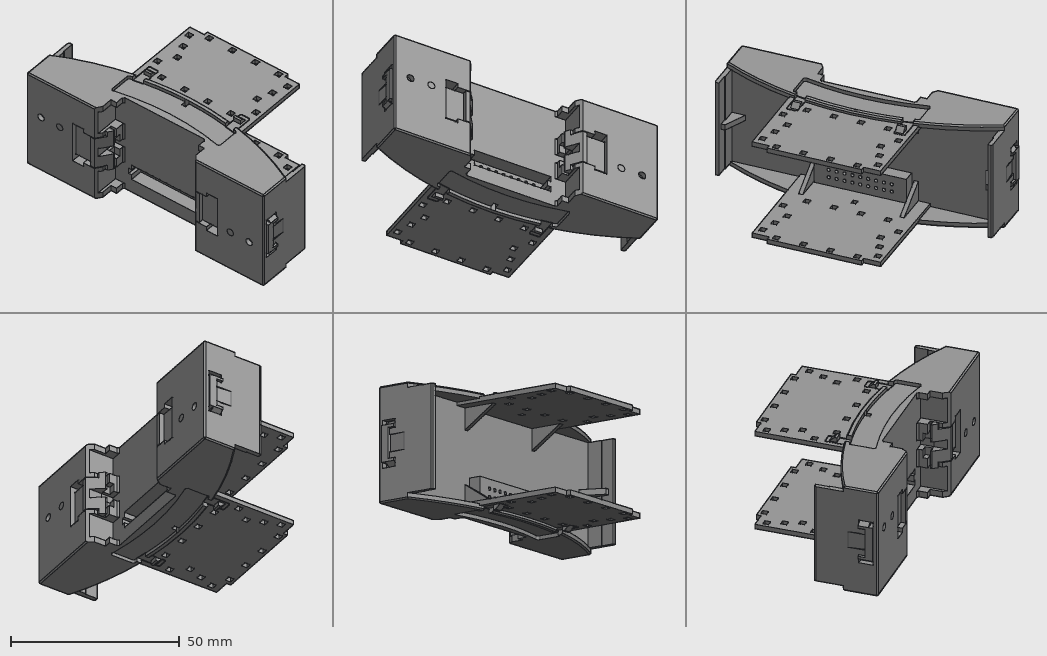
import cadquery as cq
import math

width = 35.6
half_width = width / 2
half_length = 44.9
wall = 1.7
edge_chamfer = 0.5

crown_y = 21.7
shoulder_y = 10.8
crown_sag = crown_y - shoulder_y
crown_radius = (half_length**2 + crown_sag**2) / (2 * crown_sag)
crown_center_y = crown_y - crown_radius

middle_y = 9.3
middle_half = 15.0
lip_x = 15.6
lip_y = 6.0
throat_x = 17.65
bevel_x = 19.2
bevel_tip_x = 15.7
bevel_tip_y = 4.7
bevel_slope = bevel_tip_y / (bevel_x - bevel_tip_x)
relief_x = 18.6
lip_chamfer = lip_x - middle_half

block_inner = 1.55
block_outer = 7.5
corner_block = 2.0

setback_half = 4.2
setback_y = 7.55

pocket_floor_y = 11.0
pocket_half_length = 43.2
pocket_half_width = half_width - wall

flange_top_y = 20.1
flange_step_y = 15.9
flange_inner_x = 43.5
flange_tip_run = 0.3
flange_tip_rise = 0.6
rib_top_y = 18.4
rib_top_x = 42.2
rib_foot_x = 38.1
rib_width = 1.8

recess_depth = 1.2
recess_half = 20.5
recess_rear_y = 20.0
recess_front_y = 11.8
recess_corner = 0.7
notch_width = 1.5
notch_length = 1.6

plate_outer_z = half_width - recess_depth
plate_thickness = 1.55
plate_inner_z = plate_outer_z - plate_thickness
plate_half = 20.9
plate_tip_half = 20.75
plate_shoulder_y = 47.4
plate_top_y = 48.9
plate_top_half = 15.3
vent = 1.8
vent_row_y = 24.4
vent_pitch_y = 5.0
vent_pitch_x = 8.7
vent_far_row_y = 47.05
vent_columns = 4
vent_side_x = (18.7, 15.1, 16.9, 18.7)

tab_inner_x = lip_x
tab_outer_x = 19.1
tab_tip_y = 26.0
tab_step = 0.3
tab_corner = 0.5
hook_outer_x = 18.2
hook_ramp_y = 24.9
hook_crest_y = 23.3
hook_heel_y = 22.5

gusset_top_y = 21.6
gusset_reach = 7.3
gusset_x = 16.4
gusset_width = 1.4

well_half = 12.5
well_bottom_z = -12.8
well_top_z = -7.3
well_floor_y = 13.65
key_depth = 1.1
key_width = 2.0
boss_wall = 1.4
boss_top_y = well_floor_y + boss_wall
pin_diameter = 1.0
pin_pitch = 2.55
pin_columns = 9
well_center_z = (well_top_z + well_bottom_z) / 2

latch_half = 5.6
latch_clearance = 0.3
latch_front_y = 1.55
latch_rear_y = 5.2
latch_back_x = 43.0
latch_lip_x = 20.6
latch_shoulder_x = 16.8
window_outer_x = 27.4
window_wing_x = 23.3
window_half = 7.3
knob_x = 45.5
knob_rear_y = 6.1
tongue_half = 4.55
tongue_y = 4.1
tongue_gap = 0.2
barb_front_y = 2.8
barb_base_half = 7.1
ramp_half = 2.6
ramp_top_y = 9.4
ramp_depth = 0.55
detent_diameter = 2.4
detent_z = -3.2
detent_inner_x = 32.3
detent_outer_x = 39.4

SIDES = (-1, 1)


def box(x0, x1, y0, y1, z0, z1):
    """Axis-aligned block between two opposite corners, given in any order."""
    size = (abs(x1 - x0), abs(y1 - y0), abs(z1 - z0))
    center = ((x0 + x1) / 2, (y0 + y1) / 2, (z0 + z1) / 2)
    return cq.Workplane("XY").box(*size).translate(center)


def prism(points, z0, z1):
    """XY polygon extruded from z0 up to z1."""
    return cq.Workplane("XY").workplane(offset=z0).polyline(points).close().extrude(z1 - z0)


def side_prism(points, x0, x1):
    """Polygon of (y, z) points extruded from x0 to x1."""
    return cq.Workplane("YZ").workplane(offset=x0).polyline(points).close().extrude(x1 - x0)


def arc_y(x, rear_y):
    """Y at x on the arc that is concentric with the crown and peaks at rear_y."""
    radius = rear_y - crown_center_y
    return crown_center_y + math.sqrt(radius**2 - x**2)


def both_ends(solid):
    """The +X feature and its mirror image at -X."""
    return solid.union(solid.mirror("YZ"))


def both_walls(solid):
    """The +Z feature and its mirror image at -Z."""
    return solid.union(solid.mirror("XY"))


def shell_block():
    """Outer block with crowned rear edge, hooked feet and chamfered outer edges."""
    throat_y = bevel_slope * (bevel_x - throat_x)
    foot = [
        (middle_half, middle_y),
        (lip_x, middle_y - lip_chamfer),
        (lip_x, lip_y),
        (throat_x, lip_y),
        (throat_x, throat_y),
        (bevel_x, 0),
        (half_length, 0),
        (half_length, shoulder_y),
    ]
    left_foot = [(-x, y) for x, y in reversed(foot)]
    outline = (
        cq.Workplane("XY")
        .workplane(offset=-half_width)
        .polyline(left_foot + foot)
        .threePointArc((0, crown_y), (-half_length, shoulder_y))
        .close()
    )
    block = outline.extrude(width)
    ends = block.faces("<X or >X").edges("<Y")
    feet = block.faces("<Y").edges("|X")
    sides = block.faces("<X or >X").edges("|Y")
    crown = block.faces("<Z or >Z").edges("%CIRCLE")
    return ends.add(feet).add(sides).add(crown).chamfer(edge_chamfer)


def flanges():
    """Upright end walls, thicker at the foot, each with a rib behind it."""
    base_y = pocket_floor_y - wall
    upright = [
        (pocket_half_length, base_y),
        (half_length - edge_chamfer, base_y),
        (half_length, base_y + edge_chamfer),
        (half_length, flange_top_y - flange_tip_rise),
        (half_length - flange_tip_run, flange_top_y),
        (flange_inner_x, flange_top_y),
        (flange_inner_x, flange_step_y),
        (pocket_half_length, flange_step_y),
    ]
    rib = [
        (flange_inner_x, base_y),
        (flange_inner_x, rib_top_y),
        (rib_top_x, rib_top_y),
        (rib_foot_x, base_y),
    ]
    wall_part = prism(upright, -pocket_half_width, pocket_half_width)
    rib_part = prism(rib, -rib_width / 2, rib_width / 2)
    return both_ends(wall_part.union(rib_part))


def pocket():
    """Interior, open to the rear."""
    return box(
        -pocket_half_length, pocket_half_length,
        pocket_floor_y, crown_y,
        -pocket_half_width, pocket_half_width,
    )


def foot_reliefs():
    """Gaps between the lip blocks of both feet, and the shallower stretch at mid-width."""
    corner = half_width - corner_block
    spans = [(-corner, -block_outer), (-block_inner, block_inner), (block_outer, corner)]
    reliefs = cq.Workplane("XY")
    for z0, z1 in spans:
        reliefs = reliefs.union(box(middle_half, relief_x, 0, middle_y, z0, z1))
    setback = box(middle_half, throat_x, 0, setback_y, -setback_half, setback_half)
    return both_ends(reliefs.union(setback))


def side_plates():
    """Perforated plates standing behind the housing, one inside each side wall."""
    right_edge = [
        (plate_half, pocket_floor_y),
        (plate_tip_half, plate_shoulder_y),
        (plate_top_half, plate_shoulder_y),
        (plate_top_half, plate_top_y),
    ]
    outline = right_edge + [(-x, y) for x, y in reversed(right_edge)]
    plate = prism(outline, plate_inner_z, plate_outer_z)
    row_x = [(column - (vent_columns - 1) / 2) * vent_pitch_x for column in range(vent_columns)]
    vents = [(x, y) for x in row_x for y in (vent_row_y, vent_far_row_y)]
    for row, x in enumerate(vent_side_x, start=1):
        vents += [(side * x, vent_row_y + row * vent_pitch_y) for side in SIDES]
    holes = cq.Workplane("XY").pushPoints(vents).rect(vent, vent).extrude(half_width)
    return both_walls(plate.cut(holes))


def wall_recesses():
    """Curved shallow recesses in the outer faces of the side walls."""
    rear_end = arc_y(recess_half, recess_rear_y)
    front_end = arc_y(recess_half, recess_front_y)
    recess = (
        cq.Workplane("XY")
        .workplane(offset=plate_outer_z)
        .moveTo(-recess_half, front_end)
        .threePointArc((0, recess_front_y), (recess_half, front_end))
        .lineTo(recess_half, rear_end)
        .threePointArc((0, recess_rear_y), (-recess_half, rear_end))
        .close()
        .extrude(recess_depth)
        .edges("|Z")
        .fillet(recess_corner)
    )
    return both_walls(recess)


def tab_reliefs():
    """Slightly sunken tab outlines that also break through the rim behind the recess."""
    tab_z = plate_outer_z - tab_step
    root_y = arc_y(tab_outer_x, recess_rear_y)
    tab = box(tab_inner_x, tab_outer_x, root_y, tab_tip_y, tab_z, half_width)
    tab = tab.edges("|Z and >Y").fillet(tab_corner)
    recess_disc = (
        cq.Workplane("XY")
        .workplane(offset=tab_z)
        .center(0, crown_center_y)
        .circle(recess_rear_y - crown_center_y)
        .extrude(half_width - tab_z)
    )
    return both_walls(both_ends(tab.cut(recess_disc)))


def tab_hooks():
    """Ramped hooks on the tabs."""
    base_z = plate_outer_z - plate_thickness / 2
    profile = [
        (hook_heel_y, base_z),
        (hook_heel_y, half_width),
        (hook_crest_y, half_width),
        (hook_ramp_y, plate_outer_z - tab_step),
        (hook_ramp_y, base_z),
    ]
    return both_walls(both_ends(side_prism(profile, tab_inner_x, hook_outer_x)))


def gussets():
    """Triangular ribs bracing the plates against the pocket floor."""
    base_y = pocket_floor_y - wall / 2
    profile = [
        (base_y, plate_inner_z),
        (gusset_top_y, plate_inner_z),
        (base_y, plate_inner_z - gusset_reach),
    ]
    x0 = gusset_x - gusset_width / 2
    return both_walls(both_ends(side_prism(profile, x0, x0 + gusset_width)))


def rim_notch():
    """Square notch through both side walls at mid-length."""
    return box(
        -notch_width / 2, notch_width / 2,
        recess_rear_y - notch_length, recess_rear_y,
        -half_width, half_width,
    )


def connector_boss():
    """Raised block on the pocket floor that backs the connector well."""
    reach = well_half + key_depth + boss_wall
    return box(-reach, reach, middle_y, boss_top_y, well_bottom_z - boss_wall, well_top_z + boss_wall)


def connector_well():
    """Keyed connector well with its pin holes."""
    key_z = (well_center_z - key_width / 2, well_center_z + key_width / 2)
    outer = well_half + key_depth
    well = box(-well_half, outer, middle_y, well_floor_y, well_bottom_z, well_top_z)
    well = well.union(box(-outer, -well_half, middle_y, well_floor_y, *key_z))
    well = well.cut(box(well_half, outer, middle_y, well_floor_y, *key_z))
    pins = (
        cq.Workplane("XZ")
        .center(0, well_center_z)
        .rarray(pin_pitch, pin_pitch, pin_columns, 2)
        .circle(pin_diameter / 2)
        .extrude(-boss_top_y)
    )
    return well.union(pins)


def detent_hole(x, depth):
    """Round hole or peg shape reaching from the foot surface to the given depth."""
    return cq.Workplane("XZ").center(x, detent_z).circle(detent_diameter / 2).extrude(-depth)


def latch_cavity():
    """Channel, windows, detent holes and finger ramp for the latch in the +X foot."""
    channel_half = latch_half + latch_clearance
    cavity = box(middle_half, latch_back_x, latch_front_y, latch_rear_y, -channel_half, channel_half)
    cavity = cavity.union(box(throat_x, window_outer_x, 0, latch_rear_y, -channel_half, channel_half))
    wings = box(window_wing_x, window_outer_x, 0, latch_rear_y, -window_half, window_half)
    end_window = box(latch_back_x, half_length, latch_front_y, knob_rear_y, -window_half, window_half)
    tongue = box(latch_back_x, half_length, tongue_y, knob_rear_y, -tongue_half, tongue_half)
    ramp = prism(
        [(half_length, ramp_top_y), (half_length - ramp_depth, tongue_y), (half_length, tongue_y)],
        -ramp_half,
        ramp_half,
    )
    cavity = cavity.union(wings).union(end_window.cut(tongue)).union(ramp)
    for x in (detent_inner_x, detent_outer_x):
        cavity = cavity.union(detent_hole(x, latch_front_y))
    return cavity


def half_turn(solid):
    """Copy turned half a revolution about the housing's depth axis."""
    return solid.rotate((0, 0, 0), (0, 1, 0), 180)


def make_housing():
    body = shell_block().cut(pocket()).cut(foot_reliefs()).cut(wall_recesses())
    body = body.union(flanges()).union(connector_boss())
    body = body.union(side_plates()).union(gussets())
    body = body.cut(tab_reliefs()).union(tab_hooks())
    body = body.cut(rim_notch()).cut(connector_well())
    cavity = latch_cavity()
    return body.cut(cavity).cut(half_turn(cavity))


def make_latch():
    """Sliding latch of the +X foot: two teeth, a finger lip, a detent peg and a barbed knob."""
    profile = [
        (latch_lip_x, 0),
        (bevel_x, 0),
        (bevel_tip_x, bevel_tip_y),
        (bevel_tip_x, latch_rear_y),
        (latch_back_x, latch_rear_y),
        (latch_back_x, latch_front_y),
        (latch_lip_x, latch_front_y),
    ]
    latch = prism(profile, -latch_half, latch_half)
    bevel_y = bevel_slope * (bevel_x - latch_shoulder_x)
    shoulder = [
        (bevel_tip_x, latch_rear_y),
        (bevel_tip_x, bevel_tip_y),
        (latch_shoulder_x, bevel_y),
        (throat_x, bevel_y),
        (throat_x, latch_rear_y),
    ]
    latch = latch.union(prism(shoulder, -block_outer, block_outer))
    latch = latch.cut(box(bevel_tip_x, relief_x, 0, latch_rear_y, -block_inner, block_inner))
    latch = latch.union(detent_hole(detent_inner_x, latch_front_y))
    knob_bar_y = tongue_y - tongue_gap
    latch = latch.union(box(latch_back_x, knob_x, latch_front_y, knob_bar_y, -latch_half, latch_half))
    return latch.union(both_walls(latch_barb()))


def latch_barb():
    """Side rail of the knob, tapering towards its outer end."""
    inner_z = tongue_half + tongue_gap
    plan = [
        (latch_back_x, inner_z),
        (knob_x, inner_z),
        (knob_x, latch_half),
        (latch_back_x, barb_base_half),
    ]
    return (
        cq.Workplane("XZ", origin=(0, knob_rear_y, 0))
        .polyline(plan)
        .close()
        .extrude(knob_rear_y - barb_front_y)
    )


housing = make_housing()
right_latch = make_latch()
latches = [right_latch, half_turn(right_latch)]

result = cq.Compound.makeCompound([housing.solids().val()] + [latch.solids().val() for latch in latches])